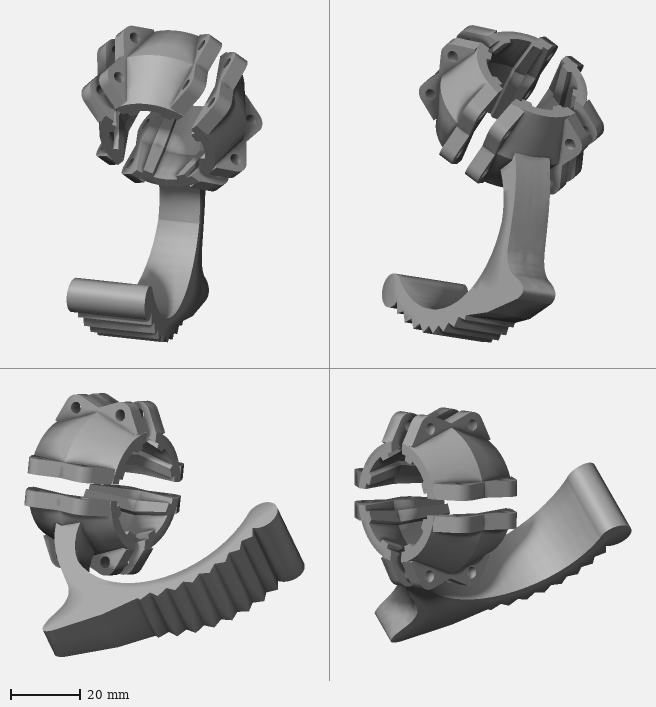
import cadquery as cq
import math

RING_TILT = 120
HALF_LENGTH = 14.6
WAIST_RADIUS = 22.45
END_RADIUS = 17.5
WALL = 3.0
RIB_HEIGHT = 1.5
RIB_OUTER_ANGLE = 28.5
SLOT_HALF_WIDTH_END = 3.6
SLOT_HALF_WIDTH_WAIST = 5.4
QUARTERS = 4

HALF_GAP = 2.4
FLANGE_THICKNESS = 4.6
FLANGE_END_RADIUS = 16.9
NOTCH_RADIUS = 22.5
HOLE_DIAMETER = 3.4
HOLE_RADIUS = 21.4
HOLE_OFFSET = 7.8
LUG_RADIUS = 3.9

BOW_RADIUS = 30.0
BOW_Y, BOW_Z = -21.85, -24.6
BALL_RADIUS = 5.0
BALL_Y, BALL_Z = -52.1, -42.0
TOOTH_TIP_RADIUS = 37.1
TOOTH_ROOT_RADIUS = 34.8
TOOTH_PITCH = 60 / 7
TOOTH_PHASE = 0.4
FOOT_Z = -61.7
STEM_EMBED = 0.3
STEM_TOP_BACK, STEM_TOP_FRONT = -2.4, 5.8
TIP_HALF_WIDTH = 12.0
TAPER = 0.09


def double_cone(inset):
    """Solid of two cones joined at the waist, its surface lying `inset` inside the ring's outside."""
    waist = WAIST_RADIUS - inset
    end = END_RADIUS - inset
    outline = [(0, -HALF_LENGTH), (-end, -HALF_LENGTH), (-waist, 0), (-end, HALF_LENGTH), (0, HALF_LENGTH)]
    return cq.Workplane("XZ").polyline(outline).close().revolve(360, (0, 0), (0, 1))


def wedge(start, stop, apex=0):
    """Tall prism around the ring axis between two angles, its apex moved out along X."""
    reach = 2 * WAIST_RADIUS
    corners = [(apex, 0)]
    for angle in (start, stop):
        turn = math.radians(angle)
        corners.append((apex + reach * math.cos(turn), reach * math.sin(turn)))
    return cq.Workplane("XY").polyline(corners).close().extrude(HALF_LENGTH, both=True)


def flange():
    """Flange along the +45 degree edge of a quarter, with two bolt holes."""
    def tangent_point(line_point, side):
        """Point where a line from line_point touches the lug circle."""
        along = line_point[0] - HOLE_OFFSET
        out = line_point[1] - HOLE_RADIUS
        angle = math.atan2(out, along) + side * math.acos(LUG_RADIUS / math.hypot(along, out))
        return HOLE_OFFSET + LUG_RADIUS * math.cos(angle), HOLE_RADIUS + LUG_RADIUS * math.sin(angle)

    notch = (0, NOTCH_RADIUS)
    end = (HALF_LENGTH, FLANGE_END_RADIUS)
    near = tangent_point(notch, -1)
    far = tangent_point(end, 1)
    crest = (HOLE_OFFSET + LUG_RADIUS * math.sin(math.radians(20)),
             HOLE_RADIUS + LUG_RADIUS * math.cos(math.radians(20)))

    plane = cq.Plane(origin=(0, 0, 0), xDir=(0, 0, -1), normal=(1, -1, 0))
    half = (
        cq.Workplane(plane).workplane(offset=HALF_GAP)
        .moveTo(0, WAIST_RADIUS / 2)
        .lineTo(*notch)
        .lineTo(*near)
        .threePointArc(crest, far)
        .lineTo(*end)
        .close()
        .extrude(FLANGE_THICKNESS)
        .cut(
            cq.Workplane(plane).center(HOLE_OFFSET, HOLE_RADIUS)
            .circle(HOLE_DIAMETER / 2).extrude(HALF_GAP + FLANGE_THICKNESS)
        )
    )
    return half.union(half.mirror("XY"))


def rib_slot():
    """Prism along +X between the two ribs, widest at the middle of the ring."""
    end, waist = SLOT_HALF_WIDTH_END, SLOT_HALF_WIDTH_WAIST
    outline = [(-end, -HALF_LENGTH), (end, -HALF_LENGTH), (waist, 0),
               (end, HALF_LENGTH), (-end, HALF_LENGTH), (-waist, 0)]
    return cq.Workplane("YZ").polyline(outline).close().extrude(WAIST_RADIUS)


def ring_quarter():
    """Quarter of the ring centred on +X, with its axis along Z."""
    one_flange = flange()
    body = double_cone(0).intersect(wedge(-45, 45, HALF_GAP * math.sqrt(2)))
    body = body.union(one_flange).union(one_flange.mirror("XZ"))
    body = body.cut(double_cone(WALL + RIB_HEIGHT))
    bore = double_cone(WALL)
    body = body.cut(bore.intersect(rib_slot()))
    for start, stop in ((RIB_OUTER_ANGLE, 60), (-60, -RIB_OUTER_ANGLE)):
        body = body.cut(bore.intersect(wedge(start, stop)))
    return body


def placed_quarter(index):
    """Quarter turned about the ring axis to its place and tilted with the ring."""
    turned = ring_quarter().rotate((0, 0, 0), (0, 0, 1), index * 360 / QUARTERS)
    return turned.rotate((0, 0, 0), (1, 0, 0), RING_TILT)


def outer_radius(along):
    """Outer radius of the ring at a distance along its axis from the middle."""
    return WAIST_RADIUS + (END_RADIUS - WAIST_RADIUS) * abs(along) / HALF_LENGTH


def on_ring(along, radius):
    """Y and Z of a point below the ring axis, `along` the axis from the ring's centre."""
    tilt = math.radians(RING_TILT)
    return (-along * math.sin(tilt) - radius * math.cos(tilt),
            along * math.cos(tilt) - radius * math.sin(tilt))


def on_bow(radius, angle):
    """Y and Z of a point around the bow's centre; the angle runs from straight down toward the tip."""
    turn = math.radians(angle)
    return BOW_Y - radius * math.sin(turn), BOW_Z - radius * math.cos(turn)


def hook():
    """Tapered hook with a heel, a bow toothed on its underside and a round bar at its tip."""
    heel_start = (13.9, FOOT_Z)
    heel_curve = [(17.0, -59.5), (15.1, -56.5), (11.35, -53.3), (8.95, -49.0),
                  (9.8, -42.0), (11.5, -36.0), (13.2, -26.2)]
    stem_back, stem_middle, stem_front = [
        on_ring(along, outer_radius(along) - STEM_EMBED) for along in (STEM_TOP_BACK, 0, STEM_TOP_FRONT)
    ]
    bow_start_angle = -67.6
    bow_end_angle = 60.0
    foot_front = (-1.8, FOOT_Z)
    foot_end = (-12.9, FOOT_Z + 2.0)
    stem_bulge = (6.8, -29.7)

    profile = (
        cq.Workplane("YZ")
        .moveTo(*heel_start)
        .spline(heel_curve + [stem_back], includeCurrent=True)
        .lineTo(*stem_middle)
        .lineTo(*stem_front)
        .threePointArc(stem_bulge, on_bow(BOW_RADIUS, bow_start_angle))
        .threePointArc(on_bow(BOW_RADIUS, 0), on_bow(BOW_RADIUS, bow_end_angle))
        .lineTo(BALL_Y, BALL_Z)
    )
    for index in range(6, -2, -1):
        root_angle = TOOTH_PHASE + index * TOOTH_PITCH
        profile = profile.lineTo(*on_bow(TOOTH_ROOT_RADIUS, root_angle))
        profile = profile.lineTo(*on_bow(TOOTH_TIP_RADIUS, root_angle - TOOTH_PITCH / 2))
    profile = profile.lineTo(*foot_end).lineTo(*foot_front).close()

    blade = profile.extrude(TIP_HALF_WIDTH, both=True)
    bar = cq.Workplane("YZ").center(BALL_Y, BALL_Z).circle(BALL_RADIUS).extrude(TIP_HALF_WIDTH, both=True)

    tip_y = BALL_Y - BALL_RADIUS
    heel_y = -tip_y
    heel_half_width = TIP_HALF_WIDTH - TAPER * (heel_y - tip_y)
    taper = (
        cq.Workplane("XY").workplane(offset=FOOT_Z)
        .polyline([(-TIP_HALF_WIDTH, tip_y), (TIP_HALF_WIDTH, tip_y),
                   (heel_half_width, heel_y), (-heel_half_width, heel_y)])
        .close().extrude(-FOOT_Z)
    )
    return blade.union(bar).intersect(taper)


HOOK_QUARTER = 3

clamp_quarters = [placed_quarter(index) for index in range(QUARTERS) if index != HOOK_QUARTER]
hooked_quarter = placed_quarter(HOOK_QUARTER).union(hook())

result = cq.Compound.makeCompound([quarter.val() for quarter in clamp_quarters] + [hooked_quarter.val()])